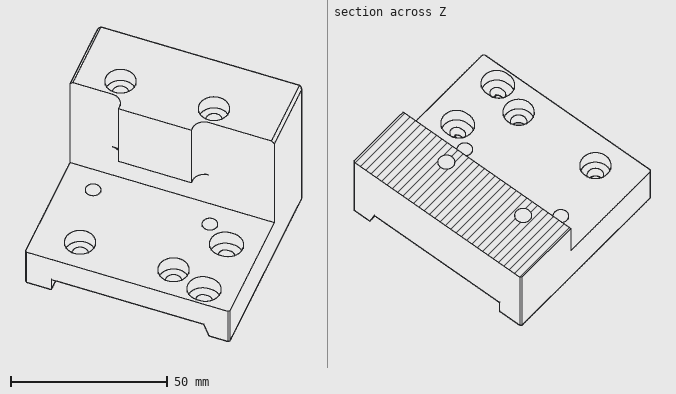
import cadquery as cq
import math

WIDTH = 70.0
DEPTH = 65.0
HEIGHT = 55.0

BASE_HEIGHT = 15.0
WALL_THICKNESS = 25.0
WALL_FRONT_Y = DEPTH - WALL_THICKNESS
TOP_CHAMFER = 1.0
CORNER_CHAMFER = 0.5

CHANNEL_DEPTH = 5.0
CHANNEL_LEFT_X = 9.0
CHANNEL_RIGHT_X = 63.0
CHANNEL_SLOPE = 20.0

HOLES_CENTER_X = 31.0
SCREW_SPACING_X = 32.0
FRONT_SCREW_Y = 10.0
REAR_SCREW_Y = 46.0
SCREW_DIAMETER = 5.3
SCREW_HEAD_DIAMETER = 10.0
SCREW_HEAD_DEPTH = 5.5

PAD_WIDTH = 25.0
PAD_PROJECTION = 5.0
PAD_HEIGHT = 26.0
PAD_FILLET = 4.0

PIN_SPACING_X = 40.0
PIN_Y = 32.0
PIN_DIAMETER = 5.0

SLOT_X = 59.0
SLOT_YS = (6.0, 26.0)
SLOT_TRAVEL = 1.0
SLOT_WIDTH = 4.3
SLOT_HEAD_WIDTH = 10.0
SLOT_HEAD_DEPTH = 5.5


def make_body():
    """L-shaped block with chamfered upright corners and top side edges."""
    profile = [
        (0, 0),
        (DEPTH, 0),
        (DEPTH, HEIGHT),
        (WALL_FRONT_Y, HEIGHT),
        (WALL_FRONT_Y, BASE_HEIGHT),
        (0, BASE_HEIGHT),
    ]
    body = cq.Workplane("YZ").polyline(profile).close().extrude(WIDTH)
    body = body.faces(">Z").edges("<X or >X").chamfer(TOP_CHAMFER)
    for face in ("<Y", ">Y"):
        body = body.faces(face).edges("|Z").chamfer(CORNER_CHAMFER)
    return body


def make_pad():
    """Raised pad at the top of the wall, including its side fillets."""
    half_width = PAD_WIDTH / 2
    half_root = half_width + PAD_FILLET
    pad_front_y = WALL_FRONT_Y - PAD_PROJECTION
    fillet_end_y = WALL_FRONT_Y - PAD_FILLET
    mid_offset = PAD_FILLET * math.sqrt(0.5)
    mid_x = half_root - mid_offset
    mid_y = fillet_end_y + mid_offset
    return (
        cq.Workplane("XY", origin=(HOLES_CENTER_X, 0, HEIGHT - PAD_HEIGHT))
        .moveTo(-half_width, pad_front_y)
        .lineTo(half_width, pad_front_y)
        .lineTo(half_width, fillet_end_y)
        .threePointArc((mid_x, mid_y), (half_root, WALL_FRONT_Y))
        .lineTo(-half_root, WALL_FRONT_Y)
        .threePointArc((-mid_x, mid_y), (-half_width, fillet_end_y))
        .close()
        .extrude(PAD_HEIGHT)
    )


def make_channel():
    """Cutter for the full-length underside channel."""
    slope_run = CHANNEL_DEPTH * math.tan(math.radians(CHANNEL_SLOPE))
    profile = [
        (CHANNEL_LEFT_X, 0),
        (CHANNEL_RIGHT_X, 0),
        (CHANNEL_RIGHT_X - slope_run, CHANNEL_DEPTH),
        (CHANNEL_LEFT_X, CHANNEL_DEPTH),
    ]
    return cq.Workplane("XZ").polyline(profile).close().extrude(-DEPTH)


def make_screw_hole(x, y, top_z):
    """Cutter for a through hole counterbored from top_z."""
    shank = cq.Workplane("XY").center(x, y).circle(SCREW_DIAMETER / 2).extrude(top_z)
    head = (
        cq.Workplane("XY", origin=(x, y, top_z))
        .circle(SCREW_HEAD_DIAMETER / 2)
        .extrude(-SCREW_HEAD_DEPTH)
    )
    return shank.union(head)


def make_pin_hole(x):
    """Cutter for a plain through hole in the base."""
    return cq.Workplane("XY").center(x, PIN_Y).circle(PIN_DIAMETER / 2).extrude(BASE_HEIGHT)


def make_slot(y):
    """Cutter for a through slot with a slotted counterbore in the base top."""
    slot = (
        cq.Workplane("XY", origin=(SLOT_X, y, 0))
        .slot2D(SLOT_WIDTH + SLOT_TRAVEL, SLOT_WIDTH)
        .extrude(BASE_HEIGHT)
    )
    head = (
        cq.Workplane("XY", origin=(SLOT_X, y, BASE_HEIGHT))
        .slot2D(SLOT_HEAD_WIDTH + SLOT_TRAVEL, SLOT_HEAD_WIDTH)
        .extrude(-SLOT_HEAD_DEPTH)
    )
    return slot.union(head)


result = make_body().union(make_pad()).cut(make_channel())

for side in (-1, 1):
    screw_x = HOLES_CENTER_X + side * SCREW_SPACING_X / 2
    result = result.cut(make_screw_hole(screw_x, FRONT_SCREW_Y, BASE_HEIGHT))
    result = result.cut(make_screw_hole(screw_x, REAR_SCREW_Y, HEIGHT))
    result = result.cut(make_pin_hole(HOLES_CENTER_X + side * PIN_SPACING_X / 2))

for slot_y in SLOT_YS:
    result = result.cut(make_slot(slot_y))